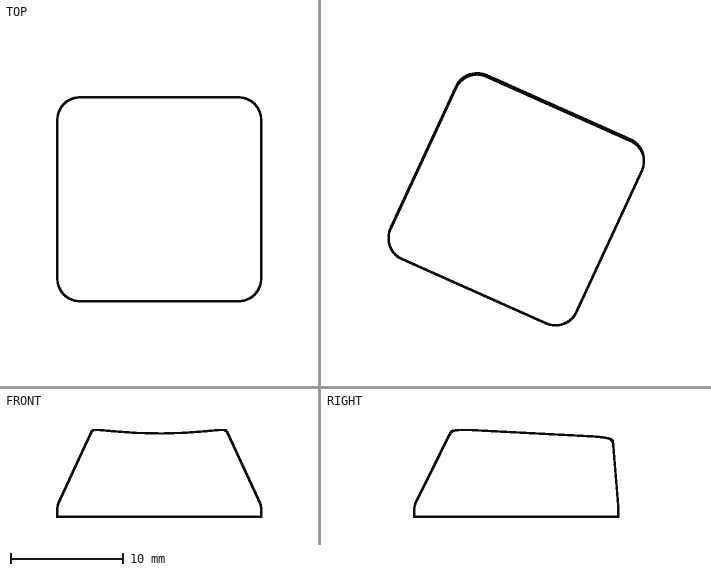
import cadquery as cq
import math

width = 18.16
corner_radius = 2.03
top_corner_radius = 1.82
band_height = 0.65

shoulder_top = 1.3
shoulder_steps = 4

side_lean = 25.3
front_lean = 26.4
back_lean = 4.7

blank_height = 9.08
dish_radius = 41.77
dish_tilt = 3.05
dish_center_height = 7.12
top_edge_radius = 0.33
cutter_length = 2 * width


def wall_inset(lean, height):
    """Distance a wall has moved in from the footprint at a given height."""
    turn = math.radians(lean)
    shoulder_radius = (shoulder_top - band_height) / math.sin(turn)
    if height <= shoulder_top:
        rise = height - band_height
        return shoulder_radius - math.sqrt(shoulder_radius**2 - rise**2)
    shoulder_inset = shoulder_radius * (1 - math.cos(turn))
    return shoulder_inset + (height - shoulder_top) * math.tan(turn)


def make_section(height):
    """Rounded rectangle that bounds the walls at a given height."""
    front_y = -width / 2 + wall_inset(front_lean, height)
    back_y = width / 2 - wall_inset(back_lean, height)
    return (
        cq.Sketch()
        .rect(width - 2 * wall_inset(side_lean, height), back_y - front_y)
        .vertices()
        .fillet(corner_radius)
        .moved(cq.Location(cq.Vector(0, (front_y + back_y) / 2, height)))
    )


def make_tilted_section():
    """Rounded rectangle across the top of the blank, parallel to the dish axis."""
    slope = math.tan(math.radians(dish_tilt))
    front_y = -width / 2 + wall_inset(front_lean, blank_height)
    back_y = width / 2 - wall_inset(back_lean, blank_height)
    front_y /= 1 + slope * math.tan(math.radians(front_lean))
    back_y /= 1 - slope * math.tan(math.radians(back_lean))
    middle_y = (front_y + back_y) / 2
    depth = (back_y - front_y) / math.cos(math.radians(dish_tilt))
    center = cq.Vector(0, middle_y, blank_height - slope * middle_y)
    tilt = cq.Location(center, cq.Vector(1, 0, 0), -dish_tilt)
    return (
        cq.Sketch()
        .rect(width - 2 * wall_inset(side_lean, blank_height), depth)
        .vertices()
        .fillet(top_corner_radius)
        .moved(tilt)
    )


def make_layer(sections):
    """Solid lofted through a list of sections."""
    return cq.Workplane("XY").placeSketch(*sections).loft()


def make_dish():
    """Tilted cylinder that hollows the top of the cap."""
    return (
        cq.Workplane("XZ")
        .circle(dish_radius)
        .extrude(cutter_length / 2, both=True)
        .translate((0, 0, dish_radius))
        .rotate((0, 0, 0), (1, 0, 0), -dish_tilt)
        .translate((0, 0, dish_center_height))
    )


step = (shoulder_top - band_height) / shoulder_steps
shoulder_heights = [band_height + i * step for i in range(shoulder_steps + 1)]
band = cq.Workplane("XY").placeSketch(make_section(band_height)).extrude(band_height)
band = band.translate((0, 0, -band_height))
shoulder = make_layer([make_section(height) for height in shoulder_heights])
walls = make_layer([make_section(shoulder_top), make_tilted_section()])
blank = band.union(shoulder).union(walls)

dished = blank.cut(make_dish())
dish_face = cq.selectors.NearestToPointSelector((0, 0, dish_center_height))
result = dished.faces(dish_face).edges().fillet(top_edge_radius)